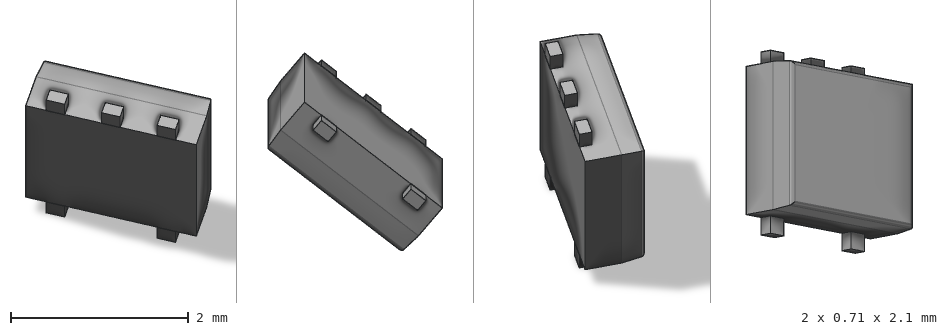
import cadquery as cq

housing_width = 2.0
housing_height = 1.7
housing_depth = 0.705
base_depth = 0.426
draft_angle = 5.0
back_edge_radius = 0.046

overall_height = 2.1
lead_width = 0.216
lead_depth = 0.15
lead_pitch = 0.649
lead_standoff = 0.005
lead_length = (overall_height - housing_height) / 2

upper_lead_places = [-lead_pitch, 0, lead_pitch]
lower_lead_places = [-lead_pitch, lead_pitch]


def make_housing():
    """Housing with its mounting face on Y = 0, narrowing toward a rounded +Y face."""
    base = cq.Workplane("XZ").rect(housing_width, housing_height).extrude(-base_depth)
    cap = (
        cq.Workplane("XZ", origin=(0, base_depth, 0))
        .rect(housing_width, housing_height)
        .extrude(base_depth - housing_depth, taper=draft_angle)
        .faces(">Y")
        .edges()
        .fillet(back_edge_radius)
    )
    return base.union(cap)


def make_lead(x, side):
    """Lead centred at x, on the upper wall (side = 1) or the lower wall (side = -1)."""
    center_y = lead_depth / 2 - lead_standoff
    center_z = side * (housing_height + lead_length) / 2
    return (
        cq.Workplane("XY")
        .box(lead_width, lead_depth, lead_length)
        .translate((x, center_y, center_z))
    )


housing = make_housing()
upper_leads = [make_lead(x, 1) for x in upper_lead_places]
lower_leads = [make_lead(x, -1) for x in lower_lead_places]

leads = [lead.val() for lead in upper_leads + lower_leads]
result = cq.Compound.makeCompound([housing.val(), *leads])